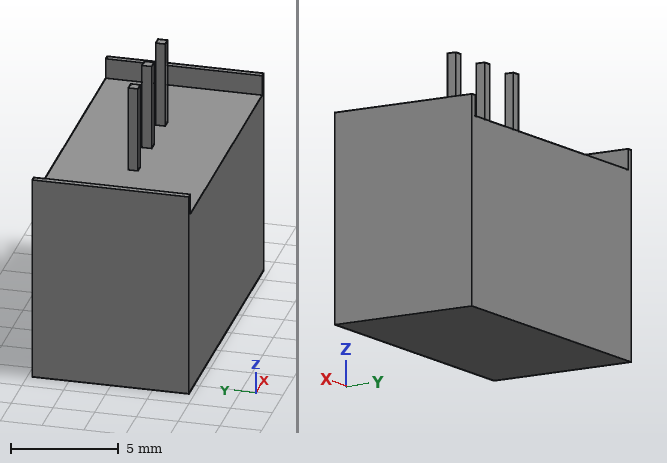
import cadquery as cq

LENGTH = 14.0
WIDTH = 7.5
BLOCK_HEIGHT = 9.1
WALL_HEIGHT = 1.0
WALL_THICKNESS = 0.3

OVERALL_HEIGHT = 13.3
PIN_COUNT = 3
PIN_SIDE = 0.46
PIN_PITCH = 2.53
PIN_HEIGHT = OVERALL_HEIGHT - BLOCK_HEIGHT

UPRIGHT = (True, True, False)


def make_housing():
    """Block and its two end walls as one solid, standing on Z = 0."""
    floor_length = LENGTH - 2 * WALL_THICKNESS
    block = cq.Workplane("XY").box(LENGTH, WIDTH, BLOCK_HEIGHT + WALL_HEIGHT, centered=UPRIGHT)
    gap_between_walls = (
        cq.Workplane("XY")
        .workplane(offset=BLOCK_HEIGHT)
        .box(floor_length, WIDTH, WALL_HEIGHT, centered=UPRIGHT)
    )
    return block.cut(gap_between_walls)


def make_pin(x):
    """One square pin standing on the block, centred across its width."""
    return (
        cq.Workplane("XY")
        .workplane(offset=BLOCK_HEIGHT)
        .center(x, 0)
        .box(PIN_SIDE, PIN_SIDE, PIN_HEIGHT, centered=UPRIGHT)
    )


housing = make_housing()

first_pin_x = -PIN_PITCH * (PIN_COUNT - 1) / 2
pins = [make_pin(first_pin_x + i * PIN_PITCH) for i in range(PIN_COUNT)]

result = cq.Compound.makeCompound([housing.val(), *[pin.val() for pin in pins]])